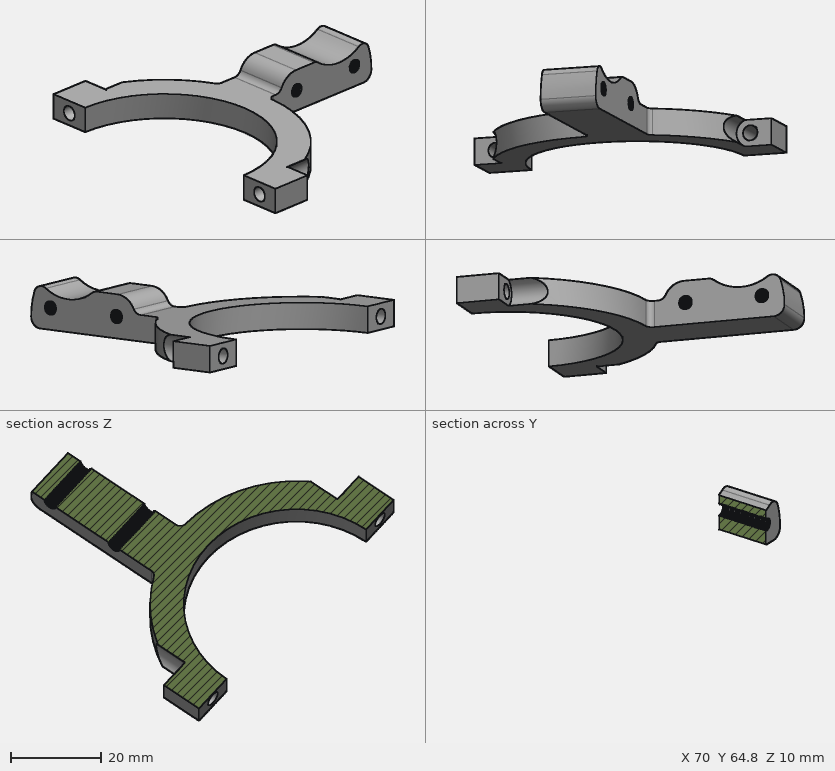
import cadquery as cq
import math

overall_width = 70.0
plate_thickness = 6.0
inner_radius = 25.0
outer_radius = 32.55
block_width = overall_width / 2 - inner_radius
block_length = 10.0
block_hole_diameter = 3.4
block_hole_x = overall_width / 2 - block_width / 2
screw_relief_diameter = 6.5

arm_width = 13.0
arm_end_y = 64.75
arm_height = 10.0
arm_root_fillet = 1.5
arm_end_fillet = 2.5

blend_radius = 2.0
nose_height = 9.65
hollow_radius = 11.0
hollow_floor_z = 7.4
hollow_center_y = 54.6
shoulder_radius = 5.0
shoulder_start_y = 41.15

thread_minor_diameter = 2.5
thread_major_diameter = 3.1
thread_groove_count = 26
cross_hole_z = 5.0
cross_hole_end_y = 59.4
cross_hole_spacing = 18.05


def leg(hypotenuse, other_leg):
    """Remaining leg of a right triangle."""
    return math.sqrt(hypotenuse**2 - other_leg**2)


def toward(start, target, distance):
    """Point at a distance from start along the line to target."""
    fraction = distance / math.dist(start, target)
    return (
        start[0] + fraction * (target[0] - start[0]),
        start[1] + fraction * (target[1] - start[1]),
    )


def on_arc(center, radius, start, end):
    """Point of the circle halfway between two of its points."""
    middle = ((start[0] + end[0]) / 2, (start[1] + end[1]) / 2)
    return toward(center, middle, radius)


def block(x, y, z):
    """Box from the given (low, high) spans."""
    size = (x[1] - x[0], y[1] - y[0], z[1] - z[0])
    return cq.Workplane("XY").box(*size, centered=False).translate((x[0], y[0], z[0]))


def rod_along_y(x, z, diameter, start_y, end_y):
    """Cylinder parallel to Y."""
    axis = cq.Workplane("XZ", origin=(x, start_y, z))
    return axis.circle(diameter / 2).extrude(start_y - end_y)


def make_half_ring():
    ring = cq.Workplane("XY").circle(outer_radius).circle(inner_radius).extrude(plate_thickness)
    upper_half = block((-outer_radius, outer_radius), (0, outer_radius), (0, plate_thickness))
    return ring.intersect(upper_half)


def make_arm():
    """Arm whose side profile is a chain of tangent arcs, swept across its width."""
    hollow_center = (hollow_center_y, hollow_floor_z + hollow_radius)
    nose_center_z = nose_height - blend_radius
    hollow_reach = hollow_radius + blend_radius
    nose_center = (
        hollow_center_y + leg(hollow_reach, hollow_center[1] - nose_center_z),
        nose_center_z,
    )
    crest_center_z = arm_height - blend_radius
    crest_center = (
        hollow_center_y - leg(hollow_reach, hollow_center[1] - crest_center_z),
        crest_center_z,
    )
    end_fillet_center = (arm_end_y - arm_end_fillet, arm_end_fillet)
    nose_setback = arm_end_y - nose_center[0]
    nose_rise = nose_center_z - arm_end_fillet
    end_face_radius = (nose_setback**2 + nose_rise**2 - blend_radius**2) / (
        2 * (nose_setback - blend_radius)
    )
    end_face_center = (arm_end_y - end_face_radius, arm_end_fillet)
    shoulder_center = (shoulder_start_y, arm_height - shoulder_radius)
    foot_center_z = plate_thickness + blend_radius
    foot_center = (
        shoulder_start_y - leg(shoulder_radius + blend_radius, foot_center_z - shoulder_center[1]),
        foot_center_z,
    )

    end_fillet_start = (end_fillet_center[0], 0)
    end_face_start = (arm_end_y, arm_end_fillet)
    nose_start = toward(end_face_center, nose_center, end_face_radius)
    hollow_start = toward(hollow_center, nose_center, hollow_radius)
    hollow_end = toward(hollow_center, crest_center, hollow_radius)
    crest_end = (crest_center[0], arm_height)
    shoulder_start = (shoulder_start_y, arm_height)
    shoulder_end = toward(shoulder_center, foot_center, shoulder_radius)
    foot_end = (foot_center[0], plate_thickness)
    root_y = leg(inner_radius, arm_width)

    profile = (
        cq.Workplane("YZ", origin=(-arm_width, 0, 0))
        .moveTo(root_y, 0)
        .lineTo(*end_fillet_start)
        .threePointArc(
            on_arc(end_fillet_center, arm_end_fillet, end_fillet_start, end_face_start), end_face_start
        )
        .threePointArc(on_arc(end_face_center, end_face_radius, end_face_start, nose_start), nose_start)
        .threePointArc(on_arc(nose_center, blend_radius, nose_start, hollow_start), hollow_start)
        .threePointArc((hollow_center_y, hollow_floor_z), hollow_end)
        .threePointArc(on_arc(crest_center, blend_radius, hollow_end, crest_end), crest_end)
        .lineTo(*shoulder_start)
        .threePointArc(
            on_arc(shoulder_center, shoulder_radius, shoulder_start, shoulder_end), shoulder_end
        )
        .threePointArc(on_arc(foot_center, blend_radius, shoulder_end, foot_end), foot_end)
        .lineTo(root_y, plate_thickness)
        .close()
    )
    ring_bore = cq.Workplane("XY").circle(inner_radius).extrude(plate_thickness)
    return profile.extrude(arm_width).cut(ring_bore)


def fillet_arm_root(body):
    """Round the two upright corners where the arm sides meet the ring."""
    for x in (-arm_width, 0):
        corner = (x, leg(outer_radius, x), plate_thickness / 2)
        body = body.edges(cq.selectors.NearestToPointSelector(corner)).fillet(arm_root_fillet)
    return body


def add_end_block(body, side):
    """Add one drilled end block and the round screw relief behind it."""
    hole_x = side * block_hole_x
    hole_z = plate_thickness / 2
    x_span = sorted((side * inner_radius, side * overall_width / 2))
    end_block = block(x_span, (0, block_length), (0, plate_thickness))
    relief = rod_along_y(hole_x, hole_z, screw_relief_diameter, block_length, outer_radius)
    hole = rod_along_y(hole_x, hole_z, block_hole_diameter, 0, block_length)
    return body.union(end_block).cut(relief).cut(hole)


def cut_threaded_hole(body, y):
    """Drill across the arm, with V-shaped ring grooves standing for the thread."""
    major_radius = thread_major_diameter / 2
    minor_radius = thread_minor_diameter / 2
    pitch = arm_width / thread_groove_count
    half_section = [(0, 0), (0, major_radius)]
    for groove in range(thread_groove_count):
        half_section.append(((groove + 0.5) * pitch, minor_radius))
        half_section.append(((groove + 1) * pitch, major_radius))
    half_section.append((arm_width, 0))
    section_plane = cq.Workplane("XY", origin=(-arm_width, y, cross_hole_z))
    cutter = section_plane.polyline(half_section).close().revolve(360, (0, 0, 0), (1, 0, 0))
    return body.cut(cutter)


result = fillet_arm_root(make_half_ring().union(make_arm()))
for side in (-1, 1):
    result = add_end_block(result, side)
for hole_y in (cross_hole_end_y, cross_hole_end_y - cross_hole_spacing):
    result = cut_threaded_hole(result, hole_y)